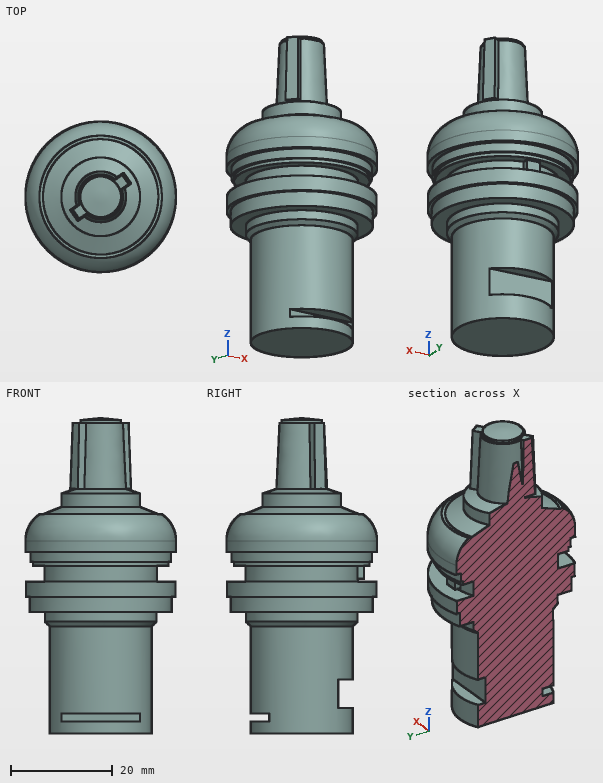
import cadquery as cq
import math

TOTAL_HEIGHT = 62.06
BODY_TOP = 21.1
SHOULDER_BOTTOM = 22.05
FLANGE_BOTTOM = 23.9
RIM_BOTTOM = 26.9
RIM_TOP = 29.9
LIP_BOTTOM = 33.0
SEAT_BOTTOM = 33.8
DOME_BOTTOM = 35.7
DOME_START = 37.9
DOME_TOP = 43.15
COLLAR_BOTTOM = 44.6
COLLAR_TOP = 47.2
STEM_BOTTOM = 48.15
STEM_TOP = 61.1
TIP_EDGE = 61.65

BODY_DIAMETER = 20.1
SHOULDER_DIAMETER = 22.0
FLANGE_DIAMETER = 28.0
RIM_DIAMETER = 29.5
NECK_DIAMETER = 22.2
LIP_DIAMETER = 26.7
SEAT_DIAMETER = 27.7
DOME_DIAMETER = 29.7
DOME_TOP_DIAMETER = 24.1
CROWN_DIAMETER = 22.7
COLLAR_DIAMETER = 15.5
STEM_BOTTOM_DIAMETER = 10.0
STEM_TOP_DIAMETER = 8.8
TIP_DIAMETER = 8.0

DOME_RISE = DOME_TOP - DOME_START
DOME_INSET = (DOME_DIAMETER - DOME_TOP_DIAMETER) / 2
DOME_ARC_RADIUS = (DOME_RISE**2 + DOME_INSET**2) / (2 * DOME_INSET)
DOME_ARC_ANGLE = math.asin(DOME_RISE / DOME_ARC_RADIUS)

KEY_COUNT = 2
KEY_ANGLE = 35.0
KEY_REACH_BOTTOM = 6.4
KEY_REACH_TOP = 5.95
KEY_WIDTH_BOTTOM = 2.6
KEY_WIDTH_TOP = 2.25

SLOT_BOTTOM = 2.4
SLOT_HEIGHT = 1.55
SLOT_FLOOR_Y = -6.4
WINDOW_BOTTOM = 5.05
WINDOW_HEIGHT = 5.6
WINDOW_FLOOR_Y = 7.2

PEG_BOTTOM = 30.45
PEG_REACH = 12.25
PEG_WIDTH = 3.0


def turned_body():
    """Revolve the half outline of all round steps about Z."""
    arc_middle_inset = DOME_ARC_RADIUS * (1 - math.cos(DOME_ARC_ANGLE / 2))
    arc_middle_rise = DOME_ARC_RADIUS * math.sin(DOME_ARC_ANGLE / 2)
    outline = (
        cq.Workplane("XZ")
        .moveTo(0, 0)
        .lineTo(BODY_DIAMETER / 2, 0)
        .lineTo(BODY_DIAMETER / 2, BODY_TOP)
        .lineTo(SHOULDER_DIAMETER / 2, SHOULDER_BOTTOM)
        .lineTo(SHOULDER_DIAMETER / 2, FLANGE_BOTTOM)
        .lineTo(FLANGE_DIAMETER / 2, FLANGE_BOTTOM)
        .lineTo(FLANGE_DIAMETER / 2, RIM_BOTTOM)
        .lineTo(RIM_DIAMETER / 2, RIM_BOTTOM)
        .lineTo(RIM_DIAMETER / 2, RIM_TOP)
        .lineTo(NECK_DIAMETER / 2, RIM_TOP)
        .lineTo(NECK_DIAMETER / 2, LIP_BOTTOM)
        .lineTo(LIP_DIAMETER / 2, LIP_BOTTOM)
        .lineTo(LIP_DIAMETER / 2, SEAT_BOTTOM)
        .lineTo(SEAT_DIAMETER / 2, SEAT_BOTTOM)
        .lineTo(SEAT_DIAMETER / 2, DOME_BOTTOM)
        .lineTo(DOME_DIAMETER / 2, DOME_BOTTOM)
        .lineTo(DOME_DIAMETER / 2, DOME_START)
        .threePointArc(
            (DOME_DIAMETER / 2 - arc_middle_inset, DOME_START + arc_middle_rise),
            (DOME_TOP_DIAMETER / 2, DOME_TOP),
        )
        .lineTo(CROWN_DIAMETER / 2, DOME_TOP)
        .lineTo(COLLAR_DIAMETER / 2, COLLAR_BOTTOM)
        .lineTo(COLLAR_DIAMETER / 2, COLLAR_TOP)
        .lineTo(STEM_BOTTOM_DIAMETER / 2, STEM_BOTTOM)
        .lineTo(STEM_TOP_DIAMETER / 2, STEM_TOP)
        .lineTo(TIP_DIAMETER / 2, STEM_TOP)
        .lineTo(TIP_DIAMETER / 2, TIP_EDGE)
        .lineTo(0, TOTAL_HEIGHT)
        .close()
    )
    return outline.revolve(360, (0, 0, 0), (0, 1, 0))


def drive_key(angle):
    """One key, narrowing upwards in both reach and width, from the stem axis outwards."""
    key = (
        cq.Workplane("XY", origin=(0, 0, STEM_BOTTOM))
        .center(KEY_REACH_BOTTOM / 2, 0)
        .rect(KEY_REACH_BOTTOM, KEY_WIDTH_BOTTOM)
        .workplane(offset=STEM_TOP - STEM_BOTTOM)
        .center((KEY_REACH_TOP - KEY_REACH_BOTTOM) / 2, 0)
        .rect(KEY_REACH_TOP, KEY_WIDTH_TOP)
        .loft(ruled=True)
    )
    return key.rotate((0, 0, 0), (0, 0, 1), angle)


def chord_cut(floor_y, side, bottom, height):
    """A block that removes the body beyond floor_y; side is -1 (front) or +1 (back)."""
    depth = BODY_DIAMETER / 2 - abs(floor_y)
    block = cq.Workplane("XY").box(BODY_DIAMETER, depth, height, centered=(True, True, False))
    return block.translate((0, floor_y + side * depth / 2, bottom))


def locating_peg():
    """A block running from the axis to the back, hanging from the lip."""
    peg = cq.Workplane("XY").box(
        PEG_WIDTH, PEG_REACH, LIP_BOTTOM - PEG_BOTTOM, centered=(True, False, False)
    )
    return peg.translate((0, 0, PEG_BOTTOM))


result = turned_body()
for index in range(KEY_COUNT):
    result = result.union(drive_key(KEY_ANGLE + index * 360 / KEY_COUNT))
result = result.union(locating_peg())
result = result.cut(chord_cut(SLOT_FLOOR_Y, -1, SLOT_BOTTOM, SLOT_HEIGHT))
result = result.cut(chord_cut(WINDOW_FLOOR_Y, 1, WINDOW_BOTTOM, WINDOW_HEIGHT))